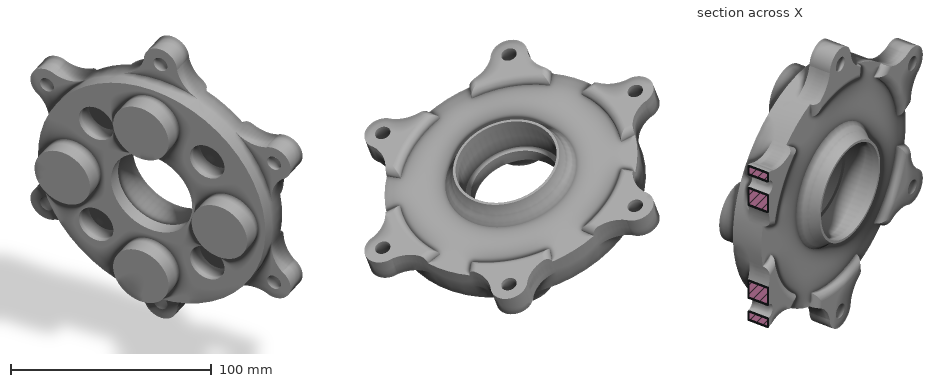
import cadquery as cq
import math

total_height = 169.0
total_depth = 37.8
front_y = -total_depth / 2
disc_front = front_y + 11.0
lug_front = front_y + 20.0
disc_back = front_y + 28.0
lug_back = front_y + 32.1
hub_back = front_y + total_depth

disc_radius = 65.0
bore_radius = 46.5 / 2
rear_bore_radius = 52.0 / 2
bore_lip_thickness = 7.1
hub_rim_radius = 27.4
hub_waist_radius = 29.4
hub_waist_y = hub_back - 5.0
hub_base_radius = 33.8

pin_count = 4
pitch_radius = 45.0
pin_radius = 31.8 / 2
blind_hole_radius = 19.8 / 2
blind_hole_depth = 10.1

lug_count = 6
selection_margin = 0.2
lug_tip_radius = 9.5
lug_centre = total_height / 2 - lug_tip_radius
lug_hole_radius = 8.0 / 2
lug_flank_radius = 18.4
lug_root_half_width = 21.3
lug_inner_half_width = 20.3
lug_inner_radius = 57.5
rounding_clearance = 0.02
lug_root_rounding = lug_back - disc_back - rounding_clearance


def cylinder(radius, y_start, y_end, x=0, z=0):
    """Cylinder along Y between two levels."""
    axis = cq.Vector(0, 1, 0)
    return cq.Workplane(cq.Solid.makeCylinder(radius, y_end - y_start, cq.Vector(x, y_start, z), axis))


def make_hub():
    """Hub flaring out in a concave arc towards the disc."""
    return (
        cq.Workplane("XY")
        .moveTo(0, disc_back)
        .lineTo(hub_base_radius, disc_back)
        .threePointArc((hub_waist_radius, hub_waist_y), (hub_rim_radius, hub_back))
        .lineTo(0, hub_back)
        .close()
        .revolve(360, (0, 0, 0), (0, 1, 0))
    )


def make_lug():
    """Lug pointing along +Z, overlapping the disc, with its root edges rounded at the back."""
    root_z = math.sqrt(disc_radius**2 - lug_root_half_width**2)
    inner_z = math.sqrt(lug_inner_radius**2 - lug_inner_half_width**2)
    outline = (
        cq.Workplane("XZ", origin=(0, lug_back, 0))
        .moveTo(-lug_inner_half_width, inner_z)
        .lineTo(-lug_root_half_width, root_z)
        .radiusArc((-lug_tip_radius, lug_centre), -lug_flank_radius)
        .threePointArc((0, lug_centre + lug_tip_radius), (lug_tip_radius, lug_centre))
        .radiusArc((lug_root_half_width, root_z), -lug_flank_radius)
        .lineTo(lug_inner_half_width, inner_z)
        .threePointArc((0, lug_inner_radius), (-lug_inner_half_width, inner_z))
        .close()
    )
    lug = outline.extrude(lug_back - lug_front)
    root_box = cq.selectors.BoxSelector(
        (-lug_root_half_width, lug_back - selection_margin, 0),
        (lug_root_half_width, lug_back + selection_margin, (root_z + disc_radius) / 2),
    )
    lug = lug.edges(root_box).fillet(lug_root_rounding)
    return lug.cut(cylinder(lug_hole_radius, lug_front, lug_back, z=lug_centre))


def pitch_point(angle):
    """X and Z of a point on the pitch circle."""
    return pitch_radius * math.cos(math.radians(angle)), pitch_radius * math.sin(math.radians(angle))


result = cylinder(disc_radius, disc_front, disc_back).union(make_hub())

lug = make_lug()
for i in range(lug_count):
    result = result.union(lug.rotate((0, 0, 0), (0, 1, 0), i * 360 / lug_count))

result = result.cut(cylinder(bore_radius, disc_front, hub_back))
result = result.cut(cylinder(rear_bore_radius, disc_front + bore_lip_thickness, hub_back))

pin_spacing = 360 // pin_count
for angle in range(0, 360, pin_spacing):
    x, z = pitch_point(angle)
    result = result.union(cylinder(pin_radius, front_y, disc_front, x, z))
    x, z = pitch_point(angle + pin_spacing / 2)
    result = result.cut(cylinder(blind_hole_radius, disc_front, disc_front + blind_hole_depth, x, z))